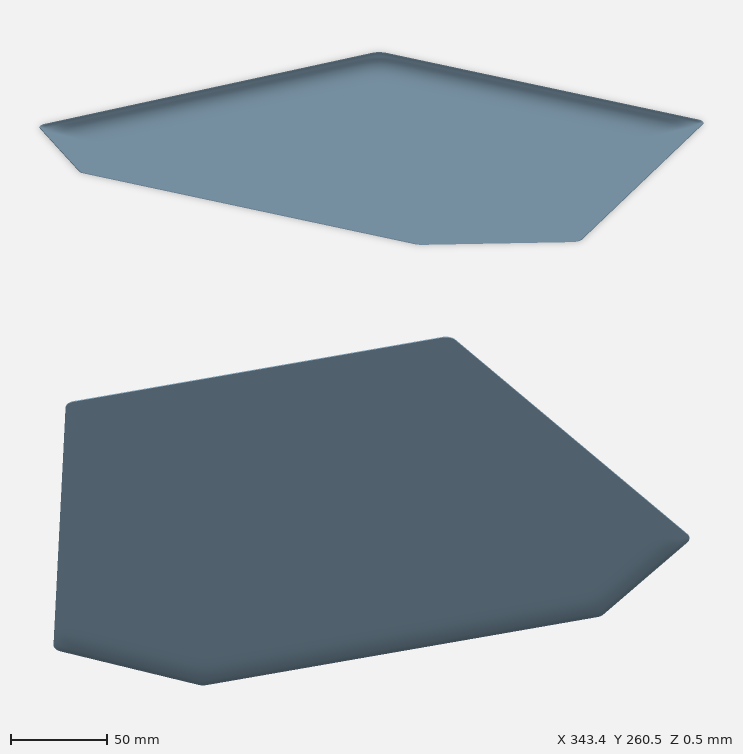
import cadquery as cq

depth = 260.5
thickness = 0.5
back_half_width = 104.0
front_half_width = 108.0
side_half_width = 172.7
side_corner_height = 53.0
corner_radius = 6.2

front_y = -depth / 2
back_y = depth / 2
side_y = front_y + side_corner_height

outline = [
    (-front_half_width, front_y),
    (front_half_width, front_y),
    (side_half_width, side_y),
    (back_half_width, back_y),
    (-back_half_width, back_y),
    (-side_half_width, side_y),
]

plate = cq.Workplane("XY").polyline(outline).close().extrude(thickness)

result = plate.edges("|Z").fillet(corner_radius)